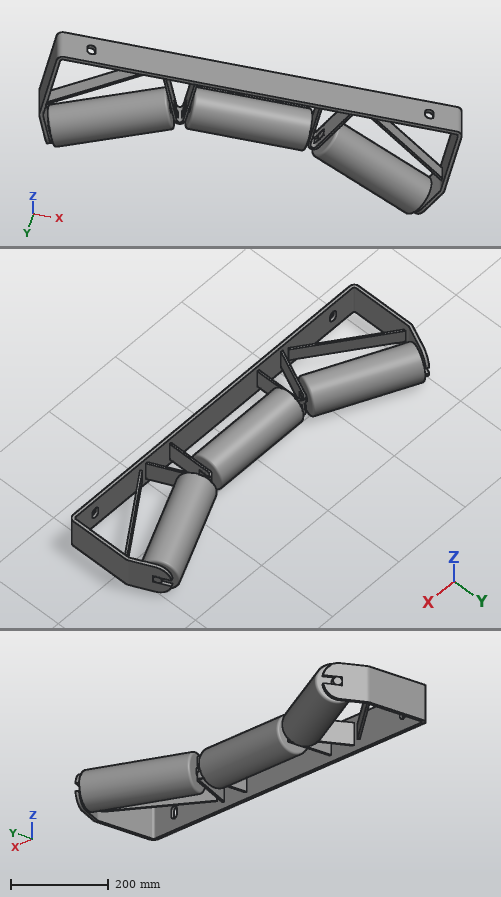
import cadquery as cq
import math

frame_length = 860.0
tilt = 25.0
tilt_sin = math.sin(math.radians(tilt))
tilt_cos = math.cos(math.radians(tilt))

roller_diameter = 89.0
roller_length = 250.0
roller_edge_radius = 5.0
roller_gap = 5.0
shaft_diameter = 20.0
shaft_flat_width = 18.0
centre_roller_y = 101.5
side_roller_x = 277.0
side_roller_y = 165.0

strip_width = 80.0
strip_thickness = 8.0
corner_radius = 13.0
shoulder_radius = 20.0
tip_overhang = 31.0
tip_corner_radius = 36.0
mount_hole_x = 359.0
mount_hole_width = 18.0
mount_hole_height = 27.5

bracket_width = 50.0
bracket_thickness = 5.0
bracket_bend_radius = 12.0

brace_angle = 35.2
brace_thickness = 5.0
brace_width = 34.0
brace_top_y = 154.0
weld_depth = 1.0

plate_face = roller_length / 2 + roller_gap
flat_start = plate_face - roller_gap / 2
bracket_shaft_end = plate_face + bracket_thickness
strip_shaft_end = plate_face + strip_thickness

clearance = 2.0


def on_side_axis(distance, across=0.0):
    """Point near the +X side roller: distance outwards along its axis, across at right angles to it."""
    x = side_roller_x + distance * tilt_cos - across * tilt_sin
    y = side_roller_y + distance * tilt_sin + across * tilt_cos
    return (x, y)


def tilted_face_y(distance, x):
    """Y at a given X on the plane across the +X side roller axis."""
    face_x, face_y = on_side_axis(distance)
    return face_y + (face_x - x) / math.tan(math.radians(tilt))


def tilted_face_x(distance, y):
    """X at a given Y on the plane across the +X side roller axis."""
    face_x, face_y = on_side_axis(distance)
    return face_x + (face_y - y) * math.tan(math.radians(tilt))


def to_side_axis(body):
    """Move a body built along the X axis onto the +X side roller axis."""
    return body.rotate((0, 0, 0), (0, 0, 1), tilt).translate((side_roller_x, side_roller_y, 0))


def to_centre_axis(body):
    """Move a body built along the X axis onto the centre roller axis."""
    return body.translate((0, centre_roller_y, 0))


def both_sides(body):
    """The body together with its reflection in the plane X = 0."""
    return body.union(body.mirror("YZ"))


def upright_plate(outline, width):
    """Extrude an outline in the XY plane to a width centred on Z = 0."""
    return cq.Workplane("XY").polyline(outline).close().extrude(width / 2, both=True)


def round_bend(body, point, radius):
    """Round the edge along Z that passes through a point."""
    nearest = cq.selectors.NearestToPointSelector((*point, 0))
    return body.edges("|Z").edges(nearest).fillet(radius)


def make_strip():
    outer_x = frame_length / 2
    inner_x = outer_x - strip_thickness
    outer_corner = (outer_x, 0)
    inner_corner = (inner_x, strip_thickness)
    outer_shoulder = (outer_x, tilted_face_y(strip_shaft_end, outer_x))
    inner_shoulder = (inner_x, tilted_face_y(plate_face, inner_x))
    right_half = [
        outer_corner,
        outer_shoulder,
        on_side_axis(strip_shaft_end, tip_overhang),
        on_side_axis(plate_face, tip_overhang),
        inner_shoulder,
        inner_corner,
    ]
    left_half = [(-x, y) for x, y in reversed(right_half)]
    strip = upright_plate(right_half + left_half, strip_width)
    bends = [
        (outer_corner, corner_radius),
        (inner_corner, corner_radius - strip_thickness),
        (outer_shoulder, shoulder_radius),
        (inner_shoulder, shoulder_radius - strip_thickness),
    ]
    for (x, y), radius in bends:
        for side in (1, -1):
            strip = round_bend(strip, (side * x, y), radius)
    return strip.cut(both_sides(to_side_axis(make_tip_waste()))).cut(make_mount_holes())


def make_tip_waste():
    """Material outside the rounded corners of a tip, for a tip square to the X axis."""
    start = plate_face - clearance
    length = strip_thickness + 2 * clearance
    bottom = tip_overhang - tip_corner_radius
    height = 2 * tip_corner_radius
    tip_space = cq.Workplane("XY").box(
        length, tip_corner_radius + clearance, strip_width + 2 * clearance, centered=(False, False, True)
    )
    rounded_tip = (
        cq.Workplane("XY")
        .box(length, height, strip_width, centered=(False, False, True))
        .translate((0, tip_corner_radius - height, 0))
        .edges("|X and >Y")
        .fillet(tip_corner_radius)
    )
    return tip_space.cut(rounded_tip).translate((start, bottom, 0))


def make_mount_holes():
    return (
        cq.Workplane("XZ")
        .pushPoints([(-mount_hole_x, 0), (mount_hole_x, 0)])
        .slot2D(mount_hole_height, mount_hole_width, 90)
        .extrude(-strip_thickness)
    )


def make_bracket():
    near_x = plate_face
    far_x = bracket_shaft_end
    foot_y = strip_thickness
    outer_fold = (near_x, tilted_face_y(-plate_face, near_x))
    inner_fold = (far_x, tilted_face_y(-bracket_shaft_end, far_x))
    outline = [
        (near_x, foot_y),
        outer_fold,
        (tilted_face_x(-plate_face, foot_y), foot_y),
        (tilted_face_x(-bracket_shaft_end, foot_y), foot_y),
        inner_fold,
        (far_x, foot_y),
    ]
    bracket = upright_plate(outline, bracket_width)
    bracket = round_bend(bracket, inner_fold, bracket_bend_radius - bracket_thickness)
    return round_bend(bracket, outer_fold, bracket_bend_radius)


def make_brace():
    angle = math.radians(brace_angle)
    top_x = frame_length / 2 - strip_thickness + weld_depth
    drop = brace_top_y - strip_thickness + weld_depth
    length = (drop - brace_thickness * math.cos(angle)) / math.sin(angle)
    return (
        cq.Workplane("XY")
        .box(length, brace_thickness, brace_width, centered=(False, False, True))
        .rotate((0, 0, 0), (0, 0, 1), 180 + brace_angle)
        .translate((top_x, brace_top_y, 0))
    )


def make_slot(start, thickness):
    """Slot tool for a plate square to the X axis."""
    return (
        cq.Workplane("XY")
        .box(thickness + 2 * clearance, roller_diameter, shaft_flat_width, centered=(False, False, True))
        .translate((start - clearance, -shaft_diameter / 2, 0))
    )


def make_frame():
    frame = make_strip().union(both_sides(make_bracket())).union(both_sides(make_brace()))
    slots = [
        to_side_axis(make_slot(plate_face, strip_thickness)),
        to_side_axis(make_slot(-bracket_shaft_end, bracket_thickness)),
        to_centre_axis(make_slot(plate_face, bracket_thickness)),
    ]
    for slot in slots:
        frame = frame.cut(both_sides(slot))
    return frame


def make_roller(left_end, right_end):
    """Roller along the X axis whose shaft reaches the given distances to either side."""
    drum = (
        cq.Workplane("YZ", origin=(-roller_length / 2, 0, 0))
        .circle(roller_diameter / 2)
        .extrude(roller_length)
        .faces("<X or >X")
        .edges()
        .fillet(roller_edge_radius)
    )
    shaft = (
        cq.Workplane("YZ", origin=(-left_end, 0, 0))
        .circle(shaft_diameter / 2)
        .extrude(left_end + right_end)
    )
    round_part = cq.Workplane("XY").box(2 * flat_start, shaft_diameter, shaft_diameter)
    flat_part = cq.Workplane("XY").box(frame_length, shaft_diameter, shaft_flat_width)
    return drum.union(shaft.intersect(round_part.union(flat_part)))


frame = make_frame()
centre_roller = to_centre_axis(make_roller(bracket_shaft_end, bracket_shaft_end))
right_roller = to_side_axis(make_roller(bracket_shaft_end, strip_shaft_end))
side_rollers = [right_roller, right_roller.mirror("YZ")]

result = cq.Compound.makeCompound(
    [frame.val(), centre_roller.val(), *[roller.val() for roller in side_rollers]]
)